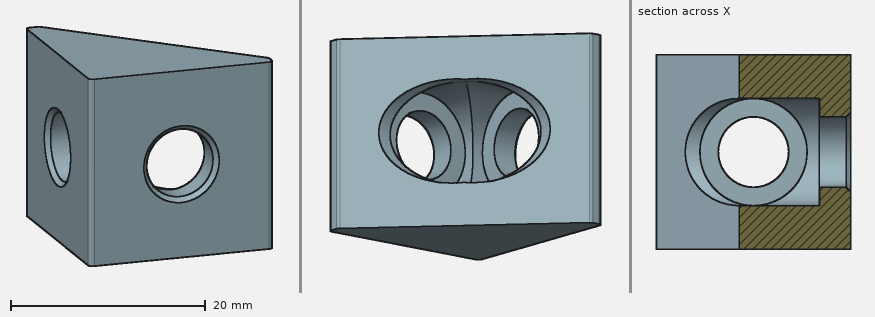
import cadquery as cq

SIZE = 20.0
LAND = 1.5
EDGE_RADIUS = 0.5

HOLE_DIAMETER = 7.2
HEAD_DIAMETER = 11.0
SEAT_THICKNESS = 3.25
HOLE_CHAMFER = 0.5

MIDDLE = SIZE / 2


def make_body():
    """Right-angled prism with blunt tips; the square corner is at +X, -Y."""
    outline = [
        (0, 0),
        (SIZE, 0),
        (SIZE, SIZE),
        (SIZE - LAND, SIZE),
        (0, LAND),
    ]
    prism = cq.Workplane("XY").polyline(outline).close().extrude(SIZE)
    return prism.edges("|Z").fillet(EDGE_RADIUS)


def make_screw_cutter(start, direction):
    """Stepped hole running inward from a leg face, with a chamfered mouth."""
    mouth_radius = HOLE_DIAMETER / 2 + HOLE_CHAMFER
    shank = cq.Solid.makeCylinder(HOLE_DIAMETER / 2, SIZE, start, direction)
    mouth = cq.Solid.makeCone(mouth_radius, HOLE_DIAMETER / 2, HOLE_CHAMFER, start, direction)
    seat = start + direction * SEAT_THICKNESS
    head = cq.Solid.makeCylinder(HEAD_DIAMETER / 2, SIZE, seat, direction)
    return shank.fuse(mouth, head)


front_hole = make_screw_cutter(cq.Vector(MIDDLE, 0, MIDDLE), cq.Vector(0, 1, 0))
side_hole = make_screw_cutter(cq.Vector(SIZE, MIDDLE, MIDDLE), cq.Vector(-1, 0, 0))

result = make_body().cut(cq.Workplane(front_hole)).cut(cq.Workplane(side_hole))